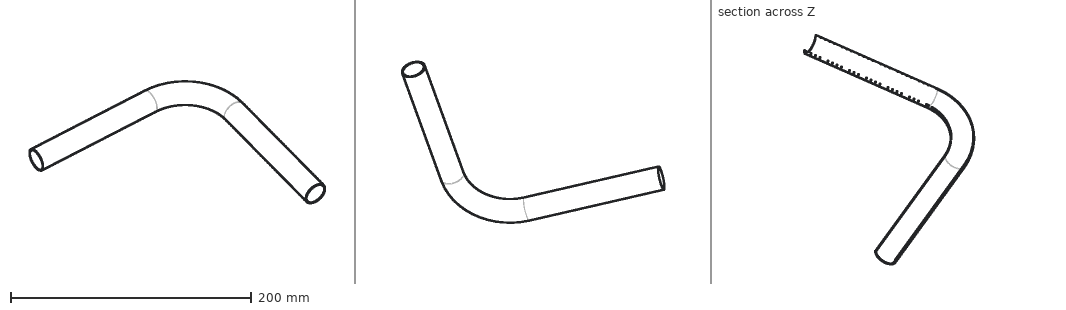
import cadquery as cq

overall_length = 176.6
outer_diameter = 20.0
inner_diameter = 18.0
bend_radius = 50.0

leg_length = overall_length - bend_radius - outer_diameter / 2


def bent_rod(diameter):
    """Solid round rod: a leg along Y, a 90 degree bend, then a leg along X."""
    section = cq.Workplane("XZ").circle(diameter / 2)
    first_leg = section.extrude(-leg_length)
    bend = (
        cq.Workplane("XZ", origin=(0, leg_length, 0))
        .circle(diameter / 2)
        .revolve(90, (bend_radius, 1.8, 0), (bend_radius, 0, 0))
    )
    second_leg = (
        cq.Workplane("YZ", origin=(bend_radius, leg_length + bend_radius, 0))
        .circle(diameter / 2)
        .extrude(leg_length)
    )
    return first_leg.union(bend).union(second_leg)


result = bent_rod(outer_diameter).cut(bent_rod(inner_diameter))